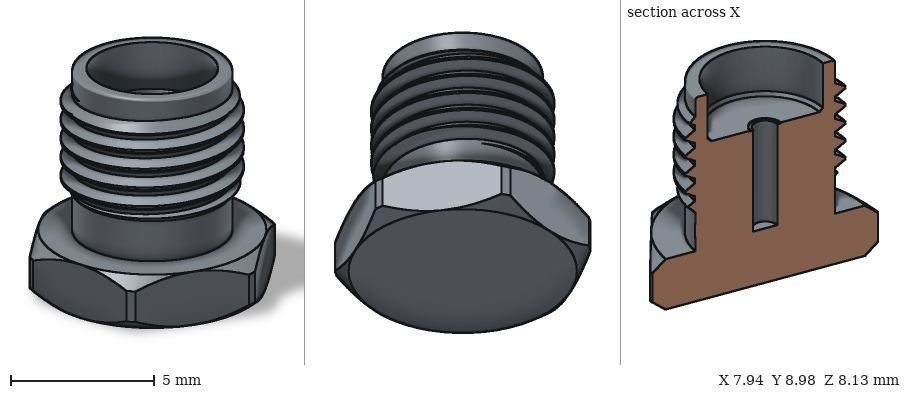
import cadquery as cq
import math

total_height = 8.13

hex_flats = 7.94
hex_corner_diameter = 8.98
hex_height = 2.02
hex_chamfer_height = 0.43

body_diameter = 5.59
rim_fillet = 0.13

thread_diameter = 6.38
five_turn_rise = 3.53
thread_pitch = five_turn_rise / 5
thread_bottom = 3.54
thread_top = 7.36
thread_angle = 60.0
crest_width = thread_pitch / 8
helix_start = 2.865
helix_turns = 8
root_overlap = 0.09

bore_diameter = 4.57
bore_depth = 1.9
bore_bottom_chamfer = 0.135

recess_diameter = 1.19
recess_depth = 0.03
contact_diameter = 0.94
contact_depth = 4.04


def make_hex_flange():
    across_corners = hex_flats / math.cos(math.radians(30))
    prism = (
        cq.Workplane("XY")
        .polygon(6, across_corners)
        .extrude(hex_height)
        .rotate((0, 0, 0), (0, 0, 1), 30)
    )
    face_radius = hex_flats / 2
    corner_radius = hex_corner_diameter / 2
    turned_blank = (
        cq.Workplane("XZ")
        .moveTo(0, 0)
        .lineTo(face_radius, 0)
        .lineTo(corner_radius, hex_chamfer_height)
        .lineTo(corner_radius, hex_height - hex_chamfer_height)
        .lineTo(face_radius, hex_height)
        .lineTo(0, hex_height)
        .close()
        .revolve(360, (0, 0, 0), (0, 1, 0))
    )
    return prism.intersect(turned_blank)


def make_body():
    return (
        cq.Workplane("XY")
        .circle(body_diameter / 2)
        .extrude(total_height)
        .faces(">Z")
        .edges()
        .fillet(rim_fillet)
    )


def make_thread():
    crest_radius = thread_diameter / 2
    base_radius = body_diameter / 2 - root_overlap
    half_crest = crest_width / 2
    half_base = half_crest + (crest_radius - base_radius) * math.tan(math.radians(thread_angle / 2))
    helix = cq.Wire.makeHelix(thread_pitch, helix_turns * thread_pitch, body_diameter / 2)
    ridge = (
        cq.Workplane("XZ")
        .moveTo(base_radius, -half_base)
        .lineTo(crest_radius, -half_crest)
        .lineTo(crest_radius, half_crest)
        .lineTo(base_radius, half_base)
        .close()
        .sweep(cq.Workplane(obj=helix), isFrenet=True)
        .translate((0, 0, helix_start))
    )
    runout = crest_radius - body_diameter / 2
    envelope = (
        cq.Workplane("XY")
        .workplane(offset=thread_bottom)
        .circle(crest_radius + root_overlap)
        .extrude(thread_top - thread_bottom)
        .edges()
        .chamfer(runout + root_overlap)
    )
    return ridge.intersect(envelope)


def make_socket():
    floor_height = total_height - bore_depth
    bore = (
        cq.Workplane("XY")
        .workplane(offset=floor_height)
        .circle(bore_diameter / 2)
        .extrude(bore_depth)
        .faces("<Z")
        .edges()
        .chamfer(bore_bottom_chamfer)
    )
    recess = (
        cq.Workplane("XY")
        .workplane(offset=floor_height - recess_depth)
        .circle(recess_diameter / 2)
        .extrude(recess_depth)
    )
    contact_hole = (
        cq.Workplane("XY")
        .workplane(offset=floor_height - contact_depth)
        .circle(contact_diameter / 2)
        .extrude(contact_depth)
    )
    return bore.union(recess).union(contact_hole)


result = make_body().union(make_thread()).union(make_hex_flange()).cut(make_socket())